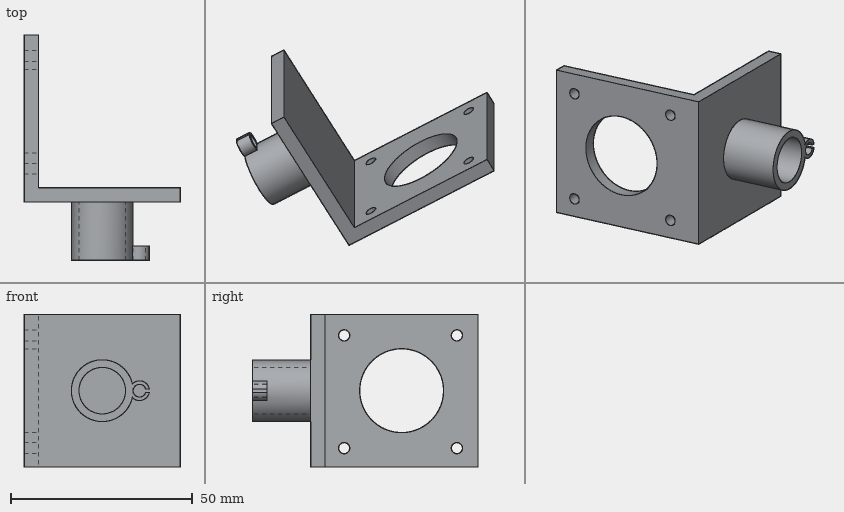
import cadquery as cq

plate_thickness = 4.0
bracket_width = 43.0
bracket_depth = 46.0
bracket_height = 42.0
mid_height = bracket_height / 2

motor_opening_diameter = 23.0
screw_hole_diameter = 3.0
screw_spacing = 31.0
screw_pattern_shift = 0.3
motor_center_y = plate_thickness + (bracket_depth - plate_thickness) / 2

tube_outer_diameter = 17.0
tube_bore_diameter = 12.8
tube_length = 16.0
tube_center_x = bracket_width / 2

clip_bore_diameter = 3.5
clip_wall = 0.97
clip_outer_diameter = clip_bore_diameter + 2 * clip_wall
clip_length = 4.0
clip_slot_width = 1.0
clip_center_x = tube_center_x + (tube_outer_diameter + clip_bore_diameter) / 2


def rod_along_y(center_x, diameter, start_y, length):
    """Cylinder at mid height running from start_y toward +Y."""
    workplane = cq.Workplane("XZ", origin=(center_x, start_y, mid_height))
    return workplane.circle(diameter / 2).extrude(-length)


def make_bracket():
    """Two plates joined in an L, seen along Z."""
    outline = [
        (0, 0),
        (bracket_width, 0),
        (bracket_width, plate_thickness),
        (plate_thickness, plate_thickness),
        (plate_thickness, bracket_depth),
        (0, bracket_depth),
    ]
    return cq.Workplane("XY").polyline(outline).close().extrude(bracket_height)


def make_motor_holes():
    """Central opening and four screw holes through the side plate."""
    face = cq.Workplane("YZ", origin=(0, motor_center_y, mid_height))
    opening = face.circle(motor_opening_diameter / 2).extrude(plate_thickness)
    screw_holes = (
        face.center(-screw_pattern_shift, -screw_pattern_shift)
        .rect(screw_spacing, screw_spacing, forConstruction=True)
        .vertices()
        .circle(screw_hole_diameter / 2)
        .extrude(plate_thickness)
    )
    return opening.union(screw_holes)


def make_clip():
    """Ring with a slot through the wall that faces away from the tube."""
    ring = rod_along_y(clip_center_x, clip_outer_diameter, -tube_length, clip_length)
    bore = rod_along_y(clip_center_x, clip_bore_diameter, -tube_length, clip_length)
    slot = cq.Workplane("XY").box(
        clip_outer_diameter / 2, clip_length, clip_slot_width, centered=(False, False, True)
    )
    slot = slot.translate((clip_center_x, -tube_length, mid_height))
    return ring.cut(bore).cut(slot)


bracket = make_bracket().cut(make_motor_holes())
tube = rod_along_y(tube_center_x, tube_outer_diameter, -tube_length, tube_length)
tube_bore = rod_along_y(tube_center_x, tube_bore_diameter, -tube_length, tube_length)

result = bracket.union(tube).union(make_clip()).cut(tube_bore)